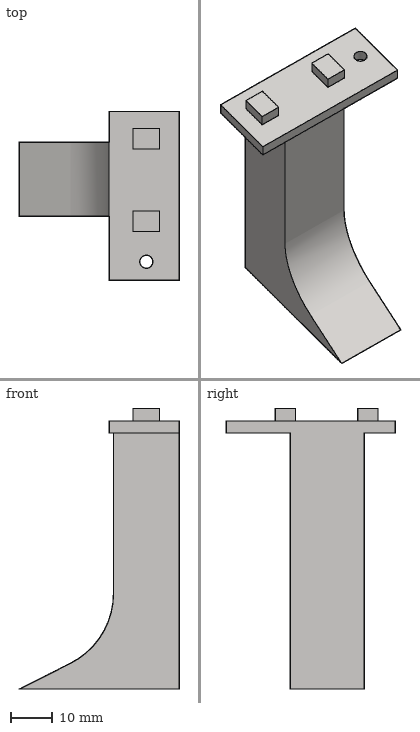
import cadquery as cq
import math

post_length_x = 16.0
post_width_y = 18.0
post_height = 62.09
foot_length_x = 38.84
toe_slope = 0.506
flare_radius = 18.9

plate_length_x = 17.0
plate_width_y = 41.0
plate_thickness = 3.0
plate_overhang_y = 7.5

lug_length_x = 6.5
lug_width_y = 5.0
lug_height = 3.0
lug_pitch = 20.0
lug_pair_offset_y = -0.15
hole_diameter = 3.1
hole_y = -20.0

back_x = post_length_x / 2
front_x = -post_length_x / 2
toe_x = back_x - foot_length_x
plate_center_x = back_x - plate_length_x / 2
plate_center_y = post_width_y / 2 + plate_overhang_y - plate_width_y / 2
plate_top_z = post_height + plate_thickness
lug_positions_y = (lug_pair_offset_y + lug_pitch / 2, lug_pair_offset_y - lug_pitch / 2)


def make_column():
    """Post and sloped toe, joined by an arc tangent to both."""
    toe_angle = math.atan(toe_slope)
    flare_angle = math.pi / 2 - toe_angle
    tangent_length = flare_radius * math.tan(flare_angle / 2)
    corner_z = (front_x - toe_x) * toe_slope
    center_x = front_x - flare_radius
    center_z = corner_z + tangent_length

    def flare_point(angle):
        return (
            center_x + flare_radius * math.cos(angle),
            center_z - flare_radius * math.sin(angle),
        )

    return (
        cq.Workplane("XZ")
        .moveTo(toe_x, 0)
        .lineTo(back_x, 0)
        .lineTo(back_x, post_height)
        .lineTo(front_x, post_height)
        .lineTo(*flare_point(0))
        .threePointArc(flare_point(flare_angle / 2), flare_point(flare_angle))
        .close()
        .extrude(post_width_y / 2, both=True)
    )


def make_plate():
    """Flat plate with its through hole, clear of the post."""
    plate = (
        cq.Workplane("XY", origin=(plate_center_x, plate_center_y, post_height))
        .rect(plate_length_x, plate_width_y)
        .extrude(plate_thickness)
    )
    hole = (
        cq.Workplane("XY", origin=(0, hole_y, post_height))
        .circle(hole_diameter / 2)
        .extrude(plate_thickness)
    )
    return plate.cut(hole)


def make_lug(center_y):
    """Rectangular lug standing on the plate."""
    return (
        cq.Workplane("XY", origin=(0, center_y, plate_top_z))
        .rect(lug_length_x, lug_width_y)
        .extrude(lug_height)
    )


result = make_column().union(make_plate())
for lug_y in lug_positions_y:
    result = result.union(make_lug(lug_y))